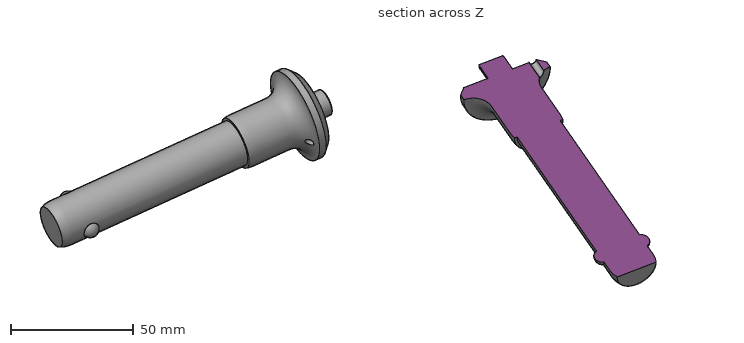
import cadquery as cq
import math

length = 130.1
button_radius = 5.7
button_chamfer = 0.4
button_length = 8.3
flange_diameter = 40.0
flange_radius = flange_diameter / 2
flange_bevel = 3.1
flange_base = 14.6
sleeve_radius = 11.6
flare_radius = flange_radius - sleeve_radius
sleeve_taper_start = 39.7
sleeve_step = 41.6
collar_end = 42.8
sleeve_taper_radius = 11.5
collar_radius = 11.2
shank_radius = 10.0
tip_length = 4.0
tip_radius = 9.0
tip_bulge = 0.3

ball_radius = 3.8
ball_offset = 8.7
ball_from_tip = 13.3

lanyard_hole_radius = 1.5
lanyard_hole_offset = 15.0

half_length = length / 2


def at(radius, station):
    """Profile point at a radius and a distance from the button end."""
    return (radius, half_length - station)


def make_body():
    """Revolve the button, flange, sleeve and shank about Y."""
    flare_end = flange_base + flare_radius
    flare_drop = flare_radius * (1 - math.sqrt(0.5))
    tip_start = length - tip_length
    profile = (
        cq.Workplane("XY")
        .moveTo(*at(0, 0))
        .lineTo(*at(button_radius - button_chamfer, 0))
        .lineTo(*at(button_radius, button_chamfer))
        .lineTo(*at(button_radius, button_length))
        .lineTo(*at(flange_radius - flange_bevel, button_length))
        .lineTo(*at(flange_radius, button_length + flange_bevel))
        .lineTo(*at(flange_radius, flange_base))
        .threePointArc(
            at(sleeve_radius + flare_drop, flange_base + flare_drop),
            at(sleeve_radius, flare_end),
        )
        .lineTo(*at(sleeve_radius, sleeve_taper_start))
        .lineTo(*at(sleeve_taper_radius, sleeve_step))
        .lineTo(*at(collar_radius, collar_end))
        .lineTo(*at(shank_radius, collar_end))
        .lineTo(*at(shank_radius, tip_start))
        .threePointArc(
            at((shank_radius + tip_radius) / 2 + tip_bulge, length - tip_length / 2),
            at(tip_radius, length),
        )
        .lineTo(*at(0, length))
        .close()
    )
    return profile.revolve(360, (0, 0, 0), (0, 1, 0))


def make_ball(side):
    """Locking ball on the -X (-1) or +X (+1) side."""
    center = (side * ball_offset, ball_from_tip - half_length, 0)
    return cq.Workplane("XY").sphere(ball_radius).translate(center)


def make_lanyard_hole():
    """Cutter running through the flange parallel to the pin."""
    return (
        cq.Workplane("XZ")
        .center(lanyard_hole_offset, 0)
        .circle(lanyard_hole_radius)
        .extrude(half_length, both=True)
    )


result = make_body().cut(make_lanyard_hole())
for side in (-1, 1):
    result = result.union(make_ball(side))